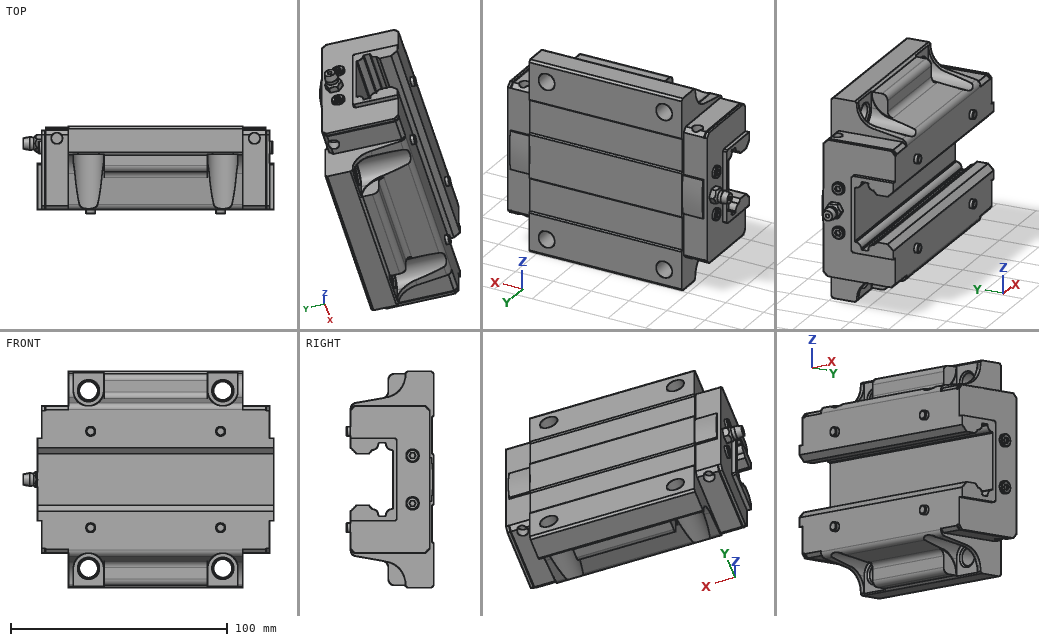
import cadquery as cq
import math


block_length = 80.5
half_block = block_length / 2
block_depth = 38.5
half_height = 50.0
back_edge_chamfer = 1.1
flange_front_y = 25.35
bevel_start_y = 26.4
bevel_slope = 0.8
flank_foot_z = 35.0
flank_angle = math.radians(10)
flank_radius = 10.5
corner_radius = 3.0

rib_half_length = 23.8
rib_front_y = 17.4
rib_half_height = 48.9

hole_x = 31.0
hole_z = 41.0
hole_diameter = 8.5
hole_chamfer = 0.8
spot_face_radius = 7.0
spot_face_y = 25.55

relief_depth = 0.75
relief_inner_z = 11.3
relief_outer_z = 29.5
relief_slope = 0.7

cap_back_y = 36.6
cap_half_height = 34.0
cap_back_chamfer = 2.1
cap_front_chamfer = 1.8
cap_end_x = 50.85
gap_end_x = 51.2
gap_inset = 0.15
plate_end_x = 52.6
plate_front_chamfer_rise = 2.2
cap_hole_x = 45.6
cap_hole_y = 32.9
cap_hole_diameter = 5.2
cap_hole_depth = 5.0
pad_half_width = 10.0
pad_edge_y = 37.4
pad_crown_y = 38.1

seal_end_x = 54.6
seal_half_height = 19.1
seal_back_y = 21.4
seal_chamfer = 0.8

channel_floor_y = 19.6
channel_floor_z = 13.2
race_center_y = 14.6
race_edge_offset = 4.5
race_edge_z = 13.6
race_crown_offset = 2.55
race_crown_z = 14.45
race_end_offset = 1.75
race_end_z = 16.4
groove_half_width = 1.35
groove_z = 16.9
lip_z = 11.8
lip_back_y = 8.4
mouth_chamfer = 2.9

pin_x = 30.0
pin_z = 22.25
pin_diameter = 4.37
pin_height = 2.0
pin_chamfer = 0.4

screw_y = 28.65
screw_z = 11.0
screw_diameter = 6.0
screw_height = 1.5
screw_chamfer = 0.4
socket_across_flats = 2.5
socket_depth = 1.0

nipple_y = 30.5
nipple_length = 8.61
hex_across_flats = 7.0
hex_corner_height = 2.2
neck_diameter = 5.7
neck_height = 3.7
barb_diameter = 6.2
barb_height = 5.5
tip_diameter = 4.92
mouth_diameter = 1.8
mouth_depth = 1.0

SIGNS = (-1, 1)


def flank_z(y):
    """Height of the sloping flank at depth y."""
    return flank_foot_z + y * math.tan(flank_angle)


def prism(points, x_start, x_end):
    """Extrude a closed (y, z) outline along X."""
    return cq.Workplane("YZ", origin=(x_start, 0, 0)).polyline(points).close().extrude(x_end - x_start)


def round_edge(solid, y, z, radius):
    """Round the lengthwise edge that passes through (y, z)."""
    middle = cq.selectors.NearestToPointSelector((0, y, z))
    return solid.edges("|X").edges(middle).fillet(radius)


def both_heights(half):
    """Complete a +Z half with its mirror image."""
    return half.union(half.mirror("XY"))


def hexagon(plane, across_flats):
    """Hexagon outline with two of its corners on the plane's first axis."""
    return plane.polygon(6, across_flats / math.cos(math.pi / 6))


def make_flanged_half():
    outline = [
        (0, 0),
        (0, flank_foot_z),
        (flange_front_y, flank_z(flange_front_y)),
        (flange_front_y, half_height - bevel_slope * (bevel_start_y - flange_front_y)),
        (bevel_start_y, half_height),
        (block_depth - back_edge_chamfer, half_height),
        (block_depth, half_height - back_edge_chamfer),
        (block_depth, 0),
    ]
    half = prism(outline, -half_block, half_block)
    half = round_edge(half, 0, flank_foot_z, corner_radius)
    return round_edge(half, flange_front_y, flank_z(flange_front_y), flank_radius)


def make_rib_half():
    outline = [
        (0, 0),
        (0, flank_foot_z),
        (rib_front_y, flank_z(rib_front_y)),
        (rib_front_y, rib_half_height),
        (bevel_start_y - (half_height - rib_half_height) / bevel_slope, rib_half_height),
        (bevel_start_y, half_height),
        (bevel_start_y, 0),
    ]
    half = prism(outline, -rib_half_length, rib_half_length)
    half = round_edge(half, 0, flank_foot_z, corner_radius)
    half = round_edge(half, rib_front_y, flank_z(rib_front_y), corner_radius)
    return round_edge(half, rib_front_y, rib_half_height, corner_radius)


def make_hole_cutter(x):
    """Round-ended spot face open at the +Z edge, with a chamfered through hole."""
    seat = cq.Workplane("XZ").center(x, hole_z).circle(spot_face_radius).extrude(-spot_face_y)
    opening = cq.Workplane("XY").box(
        2 * spot_face_radius, spot_face_y, half_height - hole_z, centered=(True, False, False)
    ).translate((x, 0, hole_z))
    rim_radius = hole_diameter / 2 + hole_chamfer
    rim_end_y = spot_face_y + hole_chamfer
    hole_profile = [
        (0, spot_face_y),
        (rim_radius, spot_face_y),
        (hole_diameter / 2, rim_end_y),
        (hole_diameter / 2, block_depth),
        (0, block_depth),
    ]
    hole = cq.Workplane("XY").polyline(hole_profile).close().revolve(360, (0, 0), (0, 1))
    return seat.union(opening).union(hole.translate((x, 0, hole_z)))


def make_relief():
    relief_y = block_depth - relief_depth
    outline = [
        (block_depth, relief_inner_z),
        (relief_y, relief_inner_z + relief_slope),
        (relief_y, relief_outer_z - relief_slope),
        (block_depth, relief_outer_z),
    ]
    return prism(outline, -half_block, half_block)


def make_block():
    half = make_flanged_half().union(make_rib_half())
    for side in SIGNS:
        half = half.cut(make_hole_cutter(side * hole_x))
    return both_heights(half.cut(make_relief()))


def make_cap_layer(x_start, x_end, layer_half_height, front_chamfer_rise):
    """One layer of an end cap, with its four lengthwise corners bevelled."""
    outline = [
        (0, 0),
        (0, layer_half_height - front_chamfer_rise),
        (cap_front_chamfer, layer_half_height),
        (cap_back_y - cap_back_chamfer, layer_half_height),
        (cap_back_y, layer_half_height - cap_back_chamfer),
        (cap_back_y, 0),
    ]
    return both_heights(prism(outline, x_start, x_end))


def make_pad():
    """Crowned pad on the back of an end cap."""
    return (
        cq.Workplane("YZ", origin=(half_block, 0, 0))
        .moveTo(cap_back_y, -pad_half_width)
        .lineTo(pad_edge_y, -pad_half_width)
        .threePointArc((pad_crown_y, 0), (pad_edge_y, pad_half_width))
        .lineTo(cap_back_y, pad_half_width)
        .close()
        .extrude(cap_end_x - half_block)
    )


def make_seal():
    seal = cq.Workplane("XY").box(
        seal_end_x - plate_end_x, seal_back_y, 2 * seal_half_height, centered=(False, False, True)
    )
    return seal.edges("|X and >Y").chamfer(seal_chamfer).translate((plate_end_x, 0, 0))


def make_screw_head():
    head = cq.Workplane("YZ").circle(screw_diameter / 2).extrude(screw_height)
    head = head.faces(">X").chamfer(screw_chamfer)
    socket_plane = cq.Workplane("YZ", origin=(screw_height - socket_depth, 0, 0))
    return head.cut(hexagon(socket_plane, socket_across_flats).extrude(socket_depth))


def make_end():
    """Complete +X end: cap, gap layer, plate, seal, pad, screw heads and side holes."""
    end = make_cap_layer(half_block, cap_end_x, cap_half_height, cap_front_chamfer)
    end = end.union(make_cap_layer(cap_end_x, gap_end_x, cap_half_height - gap_inset, cap_front_chamfer))
    end = end.union(make_cap_layer(gap_end_x, plate_end_x, cap_half_height, plate_front_chamfer_rise))
    end = end.union(make_pad()).union(make_seal())
    for side in SIGNS:
        end = end.union(make_screw_head().translate((plate_end_x, screw_y, side * screw_z)))
        hole_plane = cq.Workplane("XY", origin=(cap_hole_x, cap_hole_y, side * cap_half_height))
        end = end.cut(hole_plane.circle(cap_hole_diameter / 2).extrude(-side * cap_hole_depth))
    return end


def make_channel():
    """Rail channel with a groove between two rounded beads along each wall."""
    half = (
        cq.Workplane("YZ", origin=(-seal_end_x, 0, 0))
        .moveTo(channel_floor_y, 0)
        .lineTo(channel_floor_y, channel_floor_z)
        .lineTo(race_center_y + race_edge_offset, race_edge_z)
        .threePointArc(
            (race_center_y + race_crown_offset, race_crown_z),
            (race_center_y + race_end_offset, race_end_z),
        )
        .lineTo(race_center_y + groove_half_width, groove_z)
        .lineTo(race_center_y - groove_half_width, groove_z)
        .lineTo(race_center_y - race_end_offset, race_end_z)
        .threePointArc(
            (race_center_y - race_crown_offset, race_crown_z),
            (race_center_y - race_edge_offset, race_edge_z),
        )
        .lineTo(lip_back_y, lip_z)
        .lineTo(mouth_chamfer, lip_z)
        .lineTo(0, lip_z + mouth_chamfer)
        .lineTo(0, 0)
        .close()
        .extrude(2 * seal_end_x)
    )
    return both_heights(half)


def make_pin():
    pin = cq.Workplane("XZ").circle(pin_diameter / 2).extrude(pin_height)
    return pin.faces("<Y").chamfer(pin_chamfer)


def make_carriage():
    end = make_end()
    carriage = make_block().union(end).union(end.mirror("YZ")).cut(make_channel())
    for x_side in SIGNS:
        for z_side in SIGNS:
            carriage = carriage.union(make_pin().translate((x_side * pin_x, 0, z_side * pin_z)))
    return carriage


def turned(profile):
    """Solid of revolution about Z from (radius, height) points."""
    return cq.Workplane("XZ").polyline(profile).close().revolve(360, (0, 0), (0, 1))


def make_nipple():
    """Grease nipple built along +Z from its hexagonal seat, then turned to point along -X."""
    hex_corner_radius = hex_across_flats / 2 / math.cos(math.pi / 6)
    base_envelope = turned([
        (0, 0),
        (hex_corner_radius, 0),
        (hex_corner_radius, hex_corner_height),
        (neck_diameter / 2, neck_height),
        (0, neck_height),
    ])
    base = hexagon(cq.Workplane("XY"), hex_across_flats).extrude(neck_height).intersect(base_envelope)
    barb = turned([
        (0, neck_height),
        (neck_diameter / 2, neck_height),
        (barb_diameter / 2, barb_height),
        (tip_diameter / 2, nipple_length),
        (mouth_diameter / 2, nipple_length),
        (0, nipple_length - mouth_depth),
    ])
    nipple = base.union(barb)
    corners_along_y = nipple.rotate((0, 0, 0), (0, 0, 1), 90)
    return corners_along_y.rotate((0, 0, 0), (0, 1, 0), -90).translate((-plate_end_x, nipple_y, 0))


carriage = make_carriage()
nipple = make_nipple()
result = cq.Compound.makeCompound([carriage.val(), nipple.val()])